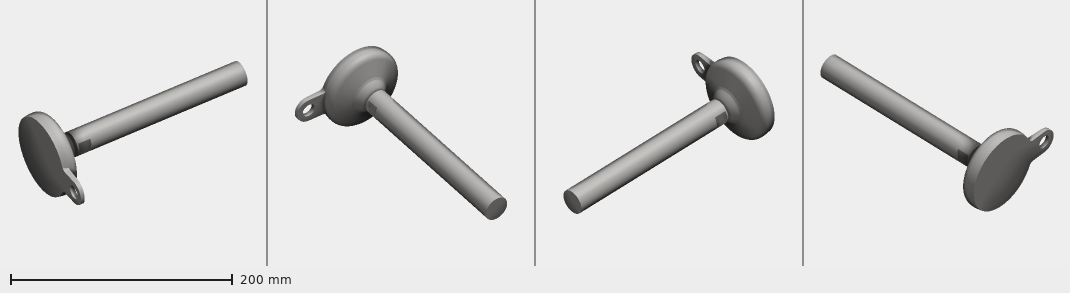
import cadquery as cq
import math


total_height = 211.5
pad_radius = 40.0
overall_width = 108.0

sole_radius = 39.1
taper_height = 5.7
rim_height = 8.9
rim_round = 7.5
cone_angle = math.radians(21)
cone_top_radius = 19.9
dome_base_radius = 17.8
dome_base_height = 23.0
dome_center_height = 10.2
neck_radius = 6.8

stem_radius = 12.0
stem_base_height = 31.7
stem_seat_radius = 9.3
collar_thickness = 1.5
flat_length = 12.7
flat_half_width = 9.5

lug_radius = 12.5
lug_hole_radius = 6.5
lug_tip_height = 3.8
lug_fillet = 5.0
lug_end = overall_width - pad_radius
lug_hole_x = lug_end - lug_radius


def make_body():
    """Revolve the pad, dome, neck and stem in one profile about the Y axis."""
    rim_center = pad_radius - rim_round

    def rim_point(angle):
        return (
            rim_center + rim_round * math.cos(angle),
            rim_height + rim_round * math.sin(angle),
        )

    rim_sweep = math.pi / 2 - cone_angle
    cone_base = rim_point(rim_sweep)
    cone_rise = (cone_base[0] - cone_top_radius) * math.tan(cone_angle)
    cone_top = (cone_top_radius, cone_base[1] + cone_rise)

    dome_radius = math.hypot(dome_base_radius, dome_base_height - dome_center_height)

    def dome_height(radius):
        return dome_center_height + math.sqrt(dome_radius**2 - radius**2)

    dome_mid_radius = (dome_base_radius + neck_radius) / 2

    return (
        cq.Workplane("XY")
        .lineTo(sole_radius, 0)
        .lineTo(pad_radius, taper_height)
        .lineTo(pad_radius, rim_height)
        .threePointArc(rim_point(rim_sweep / 2), cone_base)
        .lineTo(*cone_top)
        .lineTo(dome_base_radius, dome_base_height)
        .threePointArc(
            (dome_mid_radius, dome_height(dome_mid_radius)),
            (neck_radius, dome_height(neck_radius)),
        )
        .lineTo(stem_seat_radius, stem_base_height)
        .lineTo(stem_radius, stem_base_height)
        .lineTo(stem_radius, total_height)
        .lineTo(0, total_height)
        .close()
        .revolve(360, (0, 0, 0), (0, 1, 0))
    )


def cut_wrench_flats(body):
    """Cut two opposite flats just above the collar of the stem."""
    flat_depth = stem_radius - flat_half_width
    flat_center_y = stem_base_height + collar_thickness + flat_length / 2
    for side in (-1, 1):
        cutter = cq.Workplane("XY").box(2 * flat_depth, flat_length, 2 * stem_radius)
        cutter_x = side * (flat_half_width + flat_depth)
        body = body.cut(cutter.translate((cutter_x, flat_center_y, 0)))
    return body


def make_lug():
    """Make the eyelet: a plan outline blended into the pad, under a sloping top."""
    blend_z = lug_radius + lug_fillet
    blend_reach = sole_radius + lug_fillet
    blend_x = math.sqrt(blend_reach**2 - blend_z**2)
    touch_x = blend_x * sole_radius / blend_reach
    touch_z = blend_z * sole_radius / blend_reach
    mid_angle = (math.atan2(-blend_z, -blend_x) - math.pi / 2) / 2
    mid_x = blend_x + lug_fillet * math.cos(mid_angle)
    mid_z = blend_z + lug_fillet * math.sin(mid_angle)

    plan = (
        cq.Workplane("XZ")
        .moveTo(0, -touch_z)
        .lineTo(touch_x, -touch_z)
        .threePointArc((mid_x, -mid_z), (blend_x, -lug_radius))
        .lineTo(lug_hole_x, -lug_radius)
        .threePointArc((lug_end, 0), (lug_hole_x, lug_radius))
        .lineTo(blend_x, lug_radius)
        .threePointArc((mid_x, mid_z), (touch_x, touch_z))
        .lineTo(0, touch_z)
        .close()
        .extrude(-taper_height)
    )
    side_profile = (
        cq.Workplane("XY")
        .lineTo(lug_end, 0)
        .lineTo(lug_end, lug_tip_height)
        .lineTo(pad_radius, taper_height)
        .lineTo(0, taper_height)
        .close()
        .extrude(pad_radius, both=True)
    )
    hole = (
        cq.Workplane("XZ")
        .center(lug_hole_x, 0)
        .circle(lug_hole_radius)
        .extrude(-taper_height)
    )
    return plan.intersect(side_profile).cut(hole)


result = cut_wrench_flats(make_body()).union(make_lug())